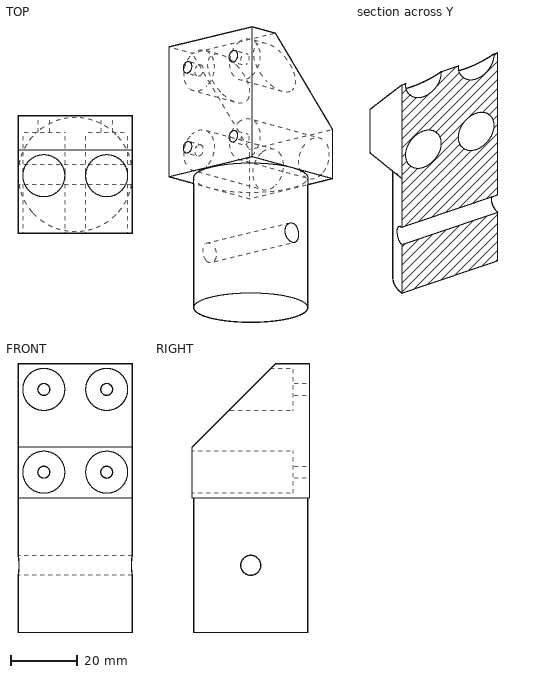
import cadquery as cq

INCH = 25.4

shank_diameter = 1.36 * INCH
shank_height = 1.6 * INCH
cross_hole_diameter = 6.0

head_width = shank_diameter
head_depth = 1.4 * INCH
head_height = 1.6 * INCH
slope_size = 25.25

screw_spacing = 19.0
screw_edge_offset = 7.82
screw_diameter = 3.53
counterbore_diameter = 0.5 * INCH
floor_thickness = 0.2 * INCH

head_top = shank_height + head_height
head_front = -head_depth / 2
head_back = head_depth / 2


def make_shank():
    """Cylinder standing on Z = 0 with a cross hole along X at mid height."""
    shank = cq.Workplane("XY").circle(shank_diameter / 2).extrude(shank_height)
    cross_hole = (
        cq.Workplane("YZ")
        .center(0, shank_height / 2)
        .circle(cross_hole_diameter / 2)
        .extrude(shank_diameter, both=True)
    )
    return shank.cut(cross_hole)


def make_head():
    """Block with a sloped upper front, extruded across X from its side profile."""
    return (
        cq.Workplane("YZ")
        .moveTo(head_front, shank_height)
        .lineTo(head_back, shank_height)
        .lineTo(head_back, head_top)
        .lineTo(head_front + slope_size, head_top)
        .lineTo(head_front, head_top - slope_size)
        .close()
        .extrude(head_width / 2, both=True)
    )


def bore_from_front(x, z, diameter, end_y):
    """Cylinder along Y from the front plane of the head back to end_y."""
    return (
        cq.Workplane("XZ", origin=(x, head_front, z))
        .circle(diameter / 2)
        .extrude(head_front - end_y)
    )


def cut_screw_holes(body):
    """Cut a through hole and a front counterbore at each screw position."""
    floor_y = head_back - floor_thickness
    for x in (-screw_spacing / 2, screw_spacing / 2):
        for z in (shank_height + screw_edge_offset, head_top - screw_edge_offset):
            body = body.cut(bore_from_front(x, z, screw_diameter, head_back))
            body = body.cut(bore_from_front(x, z, counterbore_diameter, floor_y))
    return body


result = cut_screw_holes(make_head().union(make_shank()))